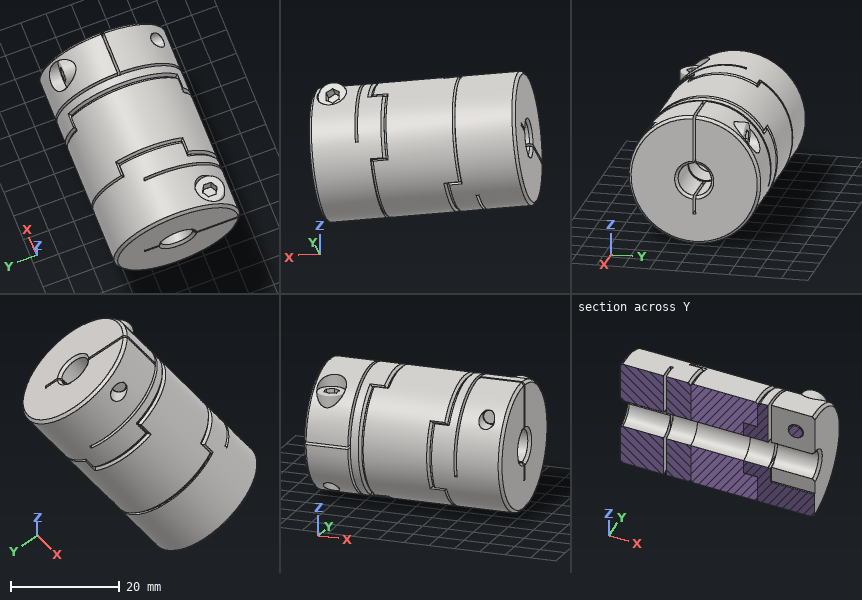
import cadquery as cq
import math

LENGTH = 39.0
DIAMETER = 25.0
RADIUS = DIAMETER / 2
BORE_DIAMETER = 6.3
END_CHAMFER = 0.55

HUB_LENGTH = 11.35
TONGUE_LENGTH = 2.85
TONGUE_WIDTH = 12.48
HUB_JOINT_CHAMFER = 0.5
DISC_JOINT_CHAMFER = 0.45

SLIT_WIDTH = 0.5
CROSS_SLIT_START = 8.78
CROSS_SLIT_REACH = 3.15
CLAMP_SLIT_REACH = 6.6

SCREW_FROM_END = 3.82
SCREW_OFFSET = 7.8
SHANK_DIAMETER = 3.0
HEAD_DIAMETER = 5.5
HEAD_HEIGHT = 3.0
HEAD_TOP = 9.13
HEAD_SEAT = HEAD_TOP - HEAD_HEIGHT
SHANK_LENGTH = 14.0
HEAD_FILLET = 0.2
TIP_CHAMFER = 0.2
SOCKET_FLATS = 2.5
SOCKET_DEPTH = 2.5

OUTER_END = -LENGTH / 2
JOINT_X = OUTER_END + HUB_LENGTH
TONGUE_END_X = JOINT_X + TONGUE_LENGTH
SCREW_X = OUTER_END + SCREW_FROM_END
TOLERANCE = 0.005


def x_cylinder(diameter, start, end):
    """Cylinder on the X axis between two X positions."""
    return cq.Workplane("YZ", origin=(start, 0, 0)).circle(diameter / 2).extrude(end - start)


def z_cylinder(diameter, bottom, top):
    """Cylinder on the axis of the first hub's screw between two heights."""
    plane = cq.Workplane("XY", origin=(SCREW_X, -SCREW_OFFSET, bottom))
    return plane.circle(diameter / 2).extrude(top - bottom)


def block(x_range, y_range, z_range):
    """Box given by its limits along each axis."""
    limits = (x_range, y_range, z_range)
    sizes = [high - low for low, high in limits]
    corner = tuple(low for low, high in limits)
    return cq.Workplane("XY").box(*sizes, centered=False).translate(corner)


def tongue_block():
    """Block across the full diameter that bounds the first hub's tongue."""
    half_width = TONGUE_WIDTH / 2
    return block((JOINT_X, TONGUE_END_X), (-half_width, half_width), (-RADIUS, RADIUS))


def at_second_end(body):
    """Counterpart of a first-end body: mirrored to the other end and turned a quarter turn."""
    return body.mirror("YZ").rotate((0, 0, 0), (1, 0, 0), -90)


def is_on_outside(edge):
    """True for an edge that lies on the coupling's outer cylinder."""
    points = (edge.positionAt(0), edge.positionAt(0.5), edge.positionAt(1))
    return all(abs(math.hypot(point.y, point.z) - RADIUS) < TOLERANCE for point in points)


def needs_hub_chamfer(edge):
    """True for the outer edges of the tongue's end and of the shoulder on the clamp slit's side."""
    middle = edge.positionAt(0.5)
    on_tongue_end = abs(middle.x - TONGUE_END_X) < TOLERANCE
    on_shoulder = abs(middle.x - JOINT_X) < TOLERANCE and middle.y < -TONGUE_WIDTH / 2
    return is_on_outside(edge) and (on_tongue_end or on_shoulder)


def needs_disc_chamfer(edge):
    """True for the outer edges of the disc's joints, but not for its cylinder's seam."""
    middle = edge.positionAt(0.5)
    is_seam = edge.geomType() == "LINE" and abs(middle.z) < TOLERANCE
    return is_on_outside(edge) and not is_seam


def make_hub():
    hub = x_cylinder(DIAMETER, OUTER_END, JOINT_X).faces("<X").chamfer(END_CHAMFER)
    hub = hub.union(x_cylinder(DIAMETER, JOINT_X, TONGUE_END_X).intersect(tongue_block()))
    joint_edges = [edge for edge in hub.edges().vals() if needs_hub_chamfer(edge)]
    hub = hub.newObject(joint_edges).chamfer(HUB_JOINT_CHAMFER)

    hub = hub.cut(x_cylinder(BORE_DIAMETER, OUTER_END, TONGUE_END_X))
    hub = hub.faces("<X").edges(cq.selectors.RadiusNthSelector(0)).chamfer(END_CHAMFER)

    cross_start = OUTER_END + CROSS_SLIT_START
    cross_end = cross_start + SLIT_WIDTH
    half_slit = SLIT_WIDTH / 2
    hub = hub.cut(block((OUTER_END, cross_start), (-RADIUS, CLAMP_SLIT_REACH), (-half_slit, half_slit)))
    hub = hub.cut(block((cross_start, cross_end), (-RADIUS, CROSS_SLIT_REACH), (-RADIUS, RADIUS)))

    hub = hub.cut(z_cylinder(SHANK_DIAMETER, -RADIUS, RADIUS))
    return hub.cut(z_cylinder(HEAD_DIAMETER, HEAD_SEAT, RADIUS))


def make_disc():
    disc = x_cylinder(DIAMETER, JOINT_X, -JOINT_X)
    disc = disc.cut(tongue_block()).cut(at_second_end(tongue_block()))
    joint_edges = [edge for edge in disc.edges().vals() if needs_disc_chamfer(edge)]
    disc = disc.newObject(joint_edges).chamfer(DISC_JOINT_CHAMFER)
    return disc.cut(x_cylinder(BORE_DIAMETER, JOINT_X, -JOINT_X))


def make_screw():
    shank = z_cylinder(SHANK_DIAMETER, HEAD_SEAT - SHANK_LENGTH, HEAD_SEAT)
    shank = shank.faces("<Z").chamfer(TIP_CHAMFER)
    head = z_cylinder(HEAD_DIAMETER, HEAD_SEAT, HEAD_TOP).faces(">Z").fillet(HEAD_FILLET)

    socket_plane = cq.Workplane("XY", origin=(SCREW_X, -SCREW_OFFSET, HEAD_TOP))
    socket = socket_plane.polygon(6, SOCKET_FLATS, circumscribed=True).extrude(-SOCKET_DEPTH)
    return head.union(shank).cut(socket)


disc = make_disc()
bodies = [disc.val()]
for make_body in (make_hub, make_screw):
    first = make_body()
    bodies += [first.val(), at_second_end(first).val()]

result = cq.Compound.makeCompound(bodies)